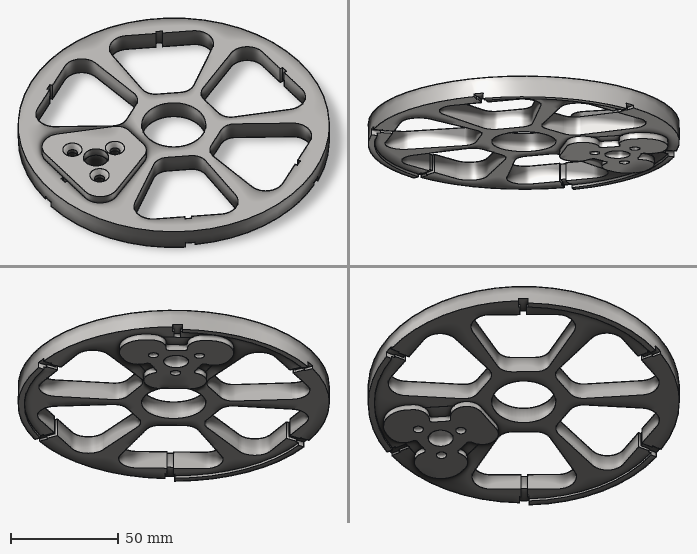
import cadquery as cq
import math

web_bottom = 3.0
wheel_top = 11.9
total_height = 16.0
rim_pad_bottom = 1.7
rim_slot_top = 4.4

wheel_radius = 72.6
hub_hole_radius = 15.0
pocket_count = 6
pocket_pitch = 360 / pocket_count
insert_angle = 257.25
rim_pad_width = 2.9
rim_slot_width = 4.5
rim_slot_depth = 4.4
key_width = 3.0
key_depth = 1.3

pocket_inner = 21.6
pocket_outer = 62.6
pocket_half_angle = 25.0
pocket_middle = 37.8
pocket_middle_half_width = 17.7
pocket_inner_radius = 7.3
pocket_outer_radius = 8.7

insert_center = 44.9
center_hole_radius = 5.8
screw_hole_radius = 2.3
screw_head_radius = 4.5
inner_screw_x = 34.0
outer_screw_x = 50.7
outer_screw_y = 10.7
screw_points = [(inner_screw_x, 0), (outer_screw_x, outer_screw_y), (outer_screw_x, -outer_screw_y)]
flange_lip = 2.6
flange_outer_radius = 11.8

notch_depth = 9.7
notch_width = 9.9
notch_floor_radius = 1.5
lobe_radius = 7.5
lobe_flat = 0.1
notch_mouth = notch_width / 2 + lobe_radius

half_angle = math.radians(pocket_half_angle)


def wedge_half_width(x, lip):
    """Half the width of the wedge at distance x from the wheel axis, its edges moved out by lip."""
    middle = pocket_middle_half_width + lip / math.cos(half_angle)
    return middle + (x - pocket_middle) * math.tan(half_angle)


def rounded_wedge(bottom, top, lip, inner_radius, outer_radius):
    """Prism with the pocket outline, its edges moved out by lip."""
    inner_x = pocket_inner - lip
    outer_x = pocket_outer + lip
    inner_y = wedge_half_width(inner_x, lip)
    outer_y = wedge_half_width(outer_x, lip)
    return (
        cq.Workplane("XY")
        .workplane(offset=bottom)
        .polyline([(inner_x, -inner_y), (outer_x, -outer_y), (outer_x, outer_y), (inner_x, inner_y)])
        .close()
        .extrude(top - bottom)
        .edges("|Z and <X")
        .fillet(inner_radius)
        .edges("|Z and >X")
        .fillet(outer_radius)
    )


def pocket_prism(bottom, top):
    return rounded_wedge(bottom, top, 0, pocket_inner_radius, pocket_outer_radius)


def box_along_x(x_start, x_end, width, bottom, top):
    """Box centred on the X axis between two distances from the wheel axis."""
    return (
        cq.Workplane("XY")
        .box(x_end - x_start, width, top - bottom, centered=(False, True, False))
        .translate((x_start, 0, bottom))
    )


def turned(shape, angle):
    """Copy of the shape turned about the wheel axis."""
    return shape.rotate((0, 0, 0), (0, 0, 1), angle)


def wheel_disc():
    return (
        cq.Workplane("XY")
        .workplane(offset=rim_pad_bottom)
        .circle(wheel_radius)
        .circle(hub_hole_radius)
        .extrude(wheel_top - rim_pad_bottom)
    )


def underside_recess():
    """Space below the web: everything inside the rim, and every other pitch of the rim itself."""
    depth = web_bottom - rim_pad_bottom
    base = cq.Workplane("XY").workplane(offset=rim_pad_bottom)
    recess = base.circle(wheel_radius - rim_pad_width).extrude(depth)
    reach = 2 * wheel_radius
    half_pitch = math.radians(pocket_pitch / 2)
    side_x = reach * math.cos(half_pitch)
    side_y = reach * math.sin(half_pitch)
    gap = base.polyline([(0, 0), (side_x, -side_y), (side_x, side_y)]).close().extrude(depth)
    for i in range(0, pocket_count, 2):
        recess = recess.union(turned(gap, insert_angle - (i + 0.5) * pocket_pitch))
    return recess


def wheel_opening():
    """Pocket with its key notch, the key groove below it, and the slot across the rim."""
    slot_start = wheel_radius - rim_slot_depth
    slot_end = wheel_radius + 1.5
    return (
        pocket_prism(rim_pad_bottom, wheel_top)
        .union(box_along_x(insert_center, pocket_outer + key_depth, key_width, rim_pad_bottom, wheel_top))
        .union(box_along_x(insert_center, slot_end, key_width, rim_pad_bottom, rim_slot_top))
        .union(box_along_x(slot_start, slot_end, rim_slot_width, rim_pad_bottom, rim_slot_top))
    )


def make_wheel():
    wheel = wheel_disc().cut(underside_recess())
    opening = wheel_opening()
    for i in range(pocket_count):
        wheel = wheel.cut(turned(opening, insert_angle + i * pocket_pitch))
    return wheel


def insert_holes():
    """Centre hole and screw holes, through the plug and the cover."""
    center_hole = cq.Workplane("XY").center(insert_center, 0).circle(center_hole_radius).extrude(total_height)
    screw_holes = cq.Workplane("XY").pushPoints(screw_points).circle(screw_hole_radius).extrude(total_height)
    return center_hole.union(screw_holes)


def flange_notch():
    """Notch cut into an edge that lies on the Y axis, from its outer side at +X."""
    half = notch_width / 2
    outside = lobe_radius
    bulge = lobe_radius * math.sqrt(0.5)
    return (
        cq.Workplane("XY")
        .moveTo(-notch_depth, -half)
        .lineTo(-lobe_radius, -half)
        .threePointArc((-lobe_radius + bulge, -notch_mouth + bulge), (0, -notch_mouth))
        .lineTo(outside, -notch_mouth)
        .lineTo(outside, notch_mouth)
        .lineTo(0, notch_mouth)
        .threePointArc((-lobe_radius + bulge, notch_mouth - bulge), (-lobe_radius, half))
        .lineTo(-notch_depth, half)
        .close()
        .extrude(web_bottom)
        .edges("|Z and <X")
        .fillet(notch_floor_radius)
    )


def make_flange():
    flange = rounded_wedge(0, web_bottom, flange_lip, lobe_radius, flange_outer_radius)
    notch = flange_notch()
    flange = flange.cut(notch.translate((pocket_outer + flange_lip, 0, 0)))

    corner_x = pocket_inner - flange_lip
    corner_y = wedge_half_width(corner_x, flange_lip)
    side_normal = 90 + pocket_half_angle
    corner_length = lobe_radius * math.tan(math.radians(180 - side_normal) / 2)
    along_side = corner_length + lobe_flat + notch_mouth
    notch_x = corner_x + along_side * math.cos(half_angle)
    notch_y = corner_y + along_side * math.sin(half_angle)
    for side in (-1, 1):
        flange = flange.cut(turned(notch, side * side_normal).translate((notch_x, side * notch_y, 0)))
    return flange


def make_plug():
    plug = make_flange().union(pocket_prism(web_bottom, wheel_top)).cut(insert_holes())
    return turned(plug, insert_angle)


def make_cover():
    cover = pocket_prism(wheel_top, total_height).cut(insert_holes())
    sink_depth = screw_head_radius - screw_hole_radius
    for x, y in screw_points:
        tip = cq.Vector(x, y, total_height - sink_depth)
        cover = cover.cut(cq.Workplane(cq.Solid.makeCone(screw_hole_radius, screw_head_radius, sink_depth, tip)))
    return turned(cover, insert_angle)


wheel = make_wheel()
plug = make_plug()
cover = make_cover()
result = cq.Compound.makeCompound([wheel.solids().val(), plug.solids().val(), cover.solids().val()])